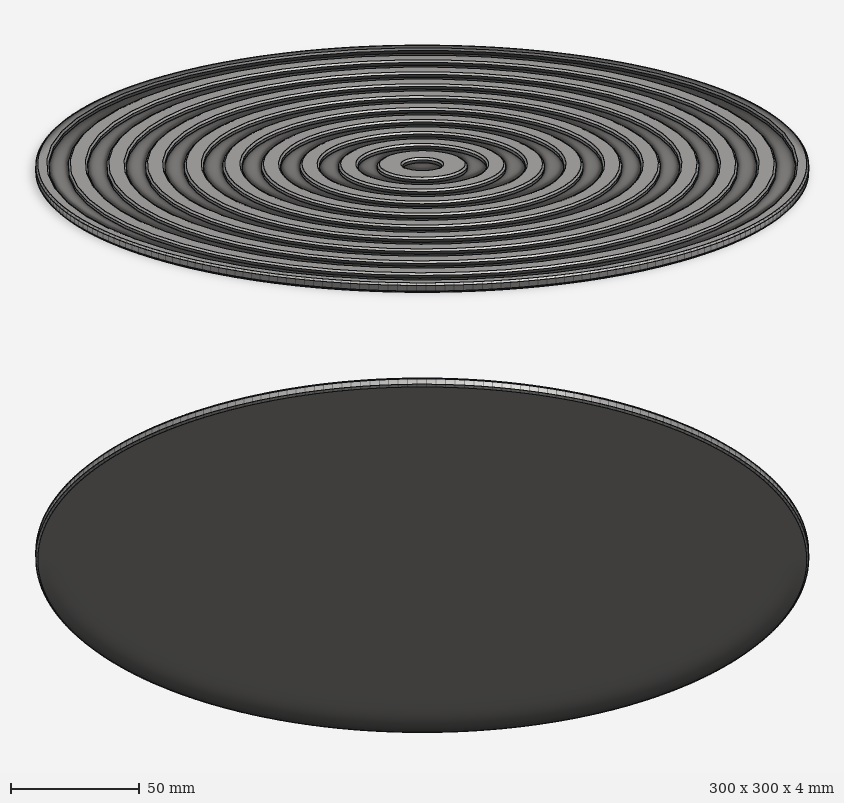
import cadquery as cq
import math

disc_width = 300.0
disc_thickness = 4.0
rim_sides = 256

chamfer_size = 0.8

recess_depth = disc_thickness / 2
center_recess_diameter = 15.0
groove_width = 7.5
groove_pitch = 2 * groove_width
groove_count = 9

rim_land_width = groove_pitch / 3
last_groove_outer_radius = disc_width / 2 - rim_land_width

recess_floor = disc_thickness - recess_depth
chamfer_start = disc_thickness - chamfer_size


def make_disc():
    half_step = math.pi / rim_sides
    corner_radius = disc_width / 2 / math.cos(half_step)
    corners = []
    for side in range(rim_sides):
        angle = (2 * side + 1) * half_step
        corners.append((corner_radius * math.cos(angle), corner_radius * math.sin(angle)))
    prism = cq.Workplane("XY").polyline(corners).close().extrude(disc_thickness)
    return prism.faces("<Z or >Z").edges().chamfer(chamfer_size)


def revolve_about_z(outline):
    """Revolve a closed (radius, height) outline about the disc axis."""
    return cq.Workplane("XZ").polyline(outline).close().revolve(360, (0, 0, 0), (0, 1, 0))


def make_center_recess():
    radius = center_recess_diameter / 2
    return revolve_about_z(
        [
            (0, recess_floor),
            (radius, recess_floor),
            (radius, chamfer_start),
            (radius + chamfer_size, disc_thickness),
            (0, disc_thickness),
        ]
    )


def make_groove(outer_radius):
    inner_radius = outer_radius - groove_width
    return revolve_about_z(
        [
            (inner_radius, recess_floor),
            (outer_radius, recess_floor),
            (outer_radius, chamfer_start),
            (outer_radius + chamfer_size, disc_thickness),
            (inner_radius - chamfer_size, disc_thickness),
            (inner_radius, chamfer_start),
        ]
    )


result = make_disc().cut(make_center_recess())
for index in range(groove_count):
    result = result.cut(make_groove(last_groove_outer_radius - index * groove_pitch))